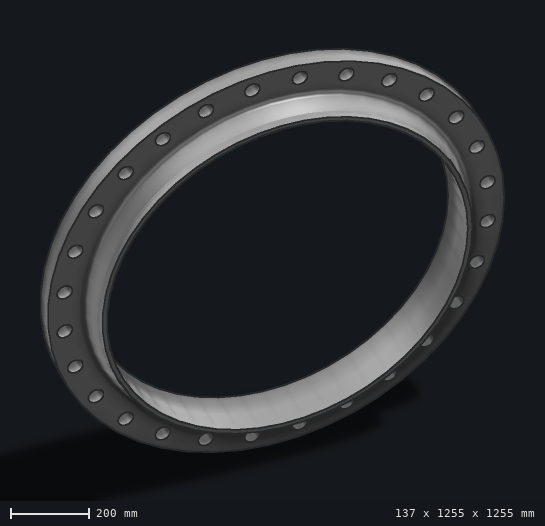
import cadquery as cq

overall_length = 137.0
flange_diameter = 1255.0
bore_diameter = 991.0
raised_face_diameter = 1117.0
raised_face_height = 6.0
flange_back = 59.0

neck_diameter = 1017.0
neck_length = 20.0
hub_base_diameter = 1057.0
hub_base_fillet = 16.0
neck_fillet = 23.0

bolt_count = 28
bolt_hole_diameter = 41.0
bolt_circle_diameter = 1170.0

taper_end = overall_length - neck_length


def turned_body():
    """Revolve the half section around the X axis."""
    profile = (
        cq.Workplane("XY")
        .moveTo(0, bore_diameter / 2)
        .lineTo(0, raised_face_diameter / 2)
        .lineTo(raised_face_height, raised_face_diameter / 2)
        .lineTo(raised_face_height, flange_diameter / 2)
        .lineTo(flange_back, flange_diameter / 2)
        .lineTo(flange_back, hub_base_diameter / 2)
        .lineTo(taper_end, neck_diameter / 2)
        .lineTo(overall_length, neck_diameter / 2)
        .lineTo(overall_length, bore_diameter / 2)
        .close()
    )
    return profile.revolve(360, (0, 0, 0), (1, 0, 0))


def round_hub(body):
    """Round both circles that bound the hub taper."""
    base_rounded = body.faces("%CONE").edges("<X").fillet(hub_base_fillet)
    return base_rounded.faces("%CONE").edges(">X").fillet(neck_fillet)


def bolt_holes():
    """Cylinders through the plate, the first one half a pitch off the Y axis."""
    pitch = 360 / bolt_count
    return (
        cq.Workplane("YZ")
        .polarArray(bolt_circle_diameter / 2, pitch / 2, 360, bolt_count)
        .circle(bolt_hole_diameter / 2)
        .extrude(flange_back)
    )


body = round_hub(turned_body())
result = body.cut(bolt_holes())